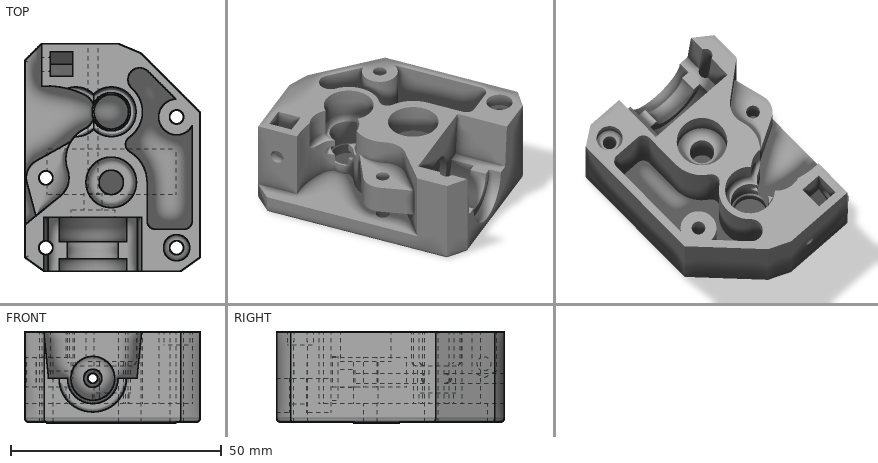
import cadquery as cq
import math

WIDTH = 41.6
LENGTH = 54.0
HEIGHT = 21.4
BOTTOM_FILLET = 1.0
REAR_LEFT_CHAMFER = 4.0
FRONT_CHAMFER_X = 4.6
FRONT_CHAMFER_Y = 3.3
SLOPE_START = (27.55, 51.75)
REAR_EDGE_END_X = 22.2
PANEL_HEIGHT = 0.2
PANEL_CORNERS = ((5.2, 18.3), (35.8, 29.1))

BOLT_SPACING = 31.0
BOLT_LEFT_X = 5.0
BOLT_FRONT_Y = 5.6
BOLT_RIGHT_X = BOLT_LEFT_X + BOLT_SPACING
BOLT_REAR_Y = BOLT_FRONT_Y + BOLT_SPACING
BOLT_HOLE_DIAMETER = 3.25
BOLT_HEAD_DIAMETER = 6.2
BOLT_HEAD_DEPTH = 3.0
BOSS_RADIUS = 4.25

MOTOR_X = BOLT_LEFT_X + BOLT_SPACING / 2
MOTOR_Y = BOLT_FRONT_Y + BOLT_SPACING / 2
BEARING_DIAMETER = 12.0
BEARING_DEPTH = 6.9
SHAFT_DIAMETER = 5.8

GEAR_X = MOTOR_X
GEAR_Y = 37.83
IDLER_X = 12.1
BORE_RADIUS = 5.9
BORE_DEPTH = 8.05
BORE_FLOOR_FILLET = 1.35
NECK_RADIUS = BORE_RADIUS - BORE_FLOOR_FILLET
GEAR_FLOOR_DEPTH = 14.4
GEAR_SEAT_DIAMETER = 8.2

POCKET_DEPTH = 16.9
POCKET_REAR_Y = 43.94
POCKET_WALL_MID = (9.1, 43.58)
PIVOT = (BOLT_LEFT_X, 22.17)
PIVOT_CLEARANCE_RADIUS = 5.5
PIVOT_EXIT_ANGLE = -50.9
BLOCK_RADIUS = 8.0

ARM_RADIUS = 4.63
ARM_TOP_DEPTH = 6.0
ARM_THICKNESS = 7.0
ARM_REAR_TIP = (11.7, 31.22)
ARM_FRONT_TIP = (2.62, 13.2)

WALL = 1.9
RIGHT_POCKET_LEFT_X = 29.0
RIGHT_POCKET_FRONT_Y = 9.96
RIGHT_POCKET_CORNER = 2.0
GEAR_WALL_RADIUS = 7.4
REAR_LOBE_RADIUS = 2.8
REAR_LOBE = (27.25, 45.45)

FILAMENT_X = 16.12
FILAMENT_DEPTH = 11.0
FILAMENT_DIAMETER = 2.3
SLOT_TOP_WIDTH = 23.2
SLOT_FLOOR_WIDTH = 21.0
SLOT_LENGTH = 12.8
GROOVE_DIAMETER = 16.0
COLLAR_DIAMETER = 12.0
COLLAR_FRONT_Y = 3.0
COLLAR_REAR_Y = 7.0
RECESS_DIAMETER = 10.4
RECESS_DEPTH = 1.75
TUBE_DIAMETER = 4.3
TUBE_DEPTH = 4.0

NUT_LEFT_X = 6.02
NUT_LENGTH = 5.3
NUT_Y = 49.13
NUT_WIDTH = 5.8
SCREW_DEPTH = 7.5
SCREW_DIAMETER = 3.3


def on_circle(center, radius, angle):
    """Point on a circle at an angle in degrees."""
    a = math.radians(angle)
    return (center[0] + radius * math.cos(a), center[1] + radius * math.sin(a))


def angle_to(start, end):
    """Direction from one point to another, in degrees."""
    return math.degrees(math.atan2(end[1] - start[1], end[0] - start[0]))


def circle_crossing(c1, r1, c2, r2, side):
    """Crossing of two circles; side +1 is left of the line from c1 to c2."""
    gap = math.dist(c1, c2)
    along = (gap**2 + r1**2 - r2**2) / (2 * gap)
    return on_circle(c1, r1, angle_to(c1, c2) + side * math.degrees(math.acos(along / r1)))


def tangent_angle(point, center, radius, side):
    """Angle on a circle where a tangent from an outside point touches."""
    spread = math.degrees(math.acos(radius / math.dist(point, center)))
    return angle_to(center, point) + side * spread


def from_top(depth):
    """Workplane at a depth below the top face."""
    return cq.Workplane("XY").workplane(offset=HEIGHT - depth)


def top_hole(x, y, diameter, depth, start=0.0):
    """Vertical cutter running from one depth down to another."""
    return from_top(depth).center(x, y).circle(diameter / 2).extrude(depth - start)


def filament_cylinder(diameter, y_start, y_end):
    """Cutter along the filament axis."""
    plane = cq.Workplane("XZ", origin=(FILAMENT_X, y_start, HEIGHT - FILAMENT_DEPTH))
    return plane.circle(diameter / 2).extrude(y_start - y_end)


def make_body():
    slope_end_y = SLOPE_START[1] - (WIDTH - SLOPE_START[0])
    outline = [
        (FRONT_CHAMFER_X, 0),
        (WIDTH - FRONT_CHAMFER_X, 0),
        (WIDTH, FRONT_CHAMFER_Y),
        (WIDTH, slope_end_y),
        SLOPE_START,
        (REAR_EDGE_END_X, LENGTH),
        (REAR_LEFT_CHAMFER, LENGTH),
        (0, LENGTH - REAR_LEFT_CHAMFER),
        (0, FRONT_CHAMFER_Y),
    ]
    body = cq.Workplane("XY").polyline(outline).close().extrude(HEIGHT)
    body = body.faces("<Z").edges().fillet(BOTTOM_FILLET)
    (x0, y0), (x1, y1) = PANEL_CORNERS
    panel = cq.Workplane("XY").box(x1 - x0, y1 - y0, PANEL_HEIGHT, centered=False)
    return body.union(panel.translate((x0, y0, -PANEL_HEIGHT)))


def block_center():
    """Centre of the convex wall, tangent to the pivot clearance and the idler neck."""
    return circle_crossing(
        PIVOT,
        PIVOT_CLEARANCE_RADIUS + BLOCK_RADIUS,
        (IDLER_X, GEAR_Y),
        NECK_RADIUS + BLOCK_RADIUS,
        -1,
    )


def make_idler_pocket():
    idler = (IDLER_X, GEAR_Y)
    block = block_center()
    pivot_to_block = angle_to(PIVOT, block)
    idler_to_block = angle_to(idler, block)
    meet = on_circle(PIVOT, PIVOT_CLEARANCE_RADIUS, pivot_to_block)
    block_end = on_circle(idler, NECK_RADIUS, idler_to_block)
    rear_end = (block_end[0], 2 * GEAR_Y - block_end[1])
    block_mid_angle = (idler_to_block + pivot_to_block) / 2 + 180
    exit_point = on_circle(PIVOT, PIVOT_CLEARANCE_RADIUS, PIVOT_EXIT_ANGLE)
    exit_slope = math.tan(math.radians(PIVOT_EXIT_ANGLE + 90))
    exit_mid_angle = (pivot_to_block + PIVOT_EXIT_ANGLE) / 2
    outline = (
        from_top(POCKET_DEPTH)
        .moveTo(0, LENGTH)
        .lineTo(REAR_LEFT_CHAMFER, LENGTH)
        .lineTo(REAR_LEFT_CHAMFER, POCKET_REAR_Y)
        .threePointArc(POCKET_WALL_MID, rear_end)
        .threePointArc((IDLER_X + NECK_RADIUS, GEAR_Y), block_end)
        .threePointArc(on_circle(block, BLOCK_RADIUS, block_mid_angle), meet)
        .threePointArc(on_circle(PIVOT, PIVOT_CLEARANCE_RADIUS, exit_mid_angle), exit_point)
        .lineTo(0, exit_point[1] - exit_slope * exit_point[0])
        .close()
    )
    pocket = outline.extrude(POCKET_DEPTH)
    gear_floor = (
        from_top(POCKET_DEPTH)
        .center(GEAR_X, GEAR_Y)
        .circle(NECK_RADIUS)
        .extrude(POCKET_DEPTH - GEAR_FLOOR_DEPTH)
    )
    return pocket.cut(gear_floor)


def make_arm():
    rear_angle = tangent_angle(ARM_REAR_TIP, PIVOT, ARM_RADIUS, 1)
    front_angle = tangent_angle(ARM_FRONT_TIP, PIVOT, ARM_RADIUS, -1) + 360
    root = (IDLER_X, ARM_FRONT_TIP[1])
    return (
        from_top(ARM_TOP_DEPTH + ARM_THICKNESS)
        .moveTo(*ARM_REAR_TIP)
        .lineTo(*on_circle(PIVOT, ARM_RADIUS, rear_angle))
        .threePointArc(
            on_circle(PIVOT, ARM_RADIUS, (rear_angle + front_angle) / 2),
            on_circle(PIVOT, ARM_RADIUS, front_angle),
        )
        .lineTo(*ARM_FRONT_TIP)
        .lineTo(*root)
        .lineTo(*block_center())
        .close()
        .extrude(ARM_THICKNESS)
    )


def make_round_bottom_bore(x, y):
    bore = top_hole(x, y, 2 * BORE_RADIUS, BORE_DEPTH)
    return bore.faces("<Z").edges().fillet(BORE_FLOOR_FILLET)


def make_gear_bores():
    bores = make_round_bottom_bore(GEAR_X, GEAR_Y).union(make_round_bottom_bore(IDLER_X, GEAR_Y))
    neck = top_hole(GEAR_X, GEAR_Y, 2 * NECK_RADIUS, GEAR_FLOOR_DEPTH)
    seat = top_hole(GEAR_X, GEAR_Y, GEAR_SEAT_DIAMETER, POCKET_DEPTH, GEAR_FLOOR_DEPTH)
    return bores.union(neck).union(seat)


def make_right_pocket():
    gear = (GEAR_X, GEAR_Y)
    motor = (MOTOR_X, MOTOR_Y)
    motor_wall_radius = RIGHT_POCKET_LEFT_X - MOTOR_X
    corner = RIGHT_POCKET_CORNER
    right_x = WIDTH - WALL
    lobe = circle_crossing(
        gear, GEAR_WALL_RADIUS + corner, motor, motor_wall_radius + corner, 1
    )
    gear_to_rear = angle_to(gear, REAR_LOBE)
    gear_to_lobe = angle_to(gear, lobe)
    motor_to_lobe = angle_to(motor, lobe)
    rear_lobe_end = on_circle(REAR_LOBE, REAR_LOBE_RADIUS, 45)
    slope_run = right_x - rear_lobe_end[0]
    outline = (
        from_top(POCKET_DEPTH)
        .moveTo(*rear_lobe_end)
        .threePointArc(
            on_circle(REAR_LOBE, REAR_LOBE_RADIUS, 135),
            on_circle(gear, GEAR_WALL_RADIUS, gear_to_rear),
        )
        .threePointArc(
            on_circle(gear, GEAR_WALL_RADIUS, (gear_to_rear + gear_to_lobe) / 2),
            on_circle(gear, GEAR_WALL_RADIUS, gear_to_lobe),
        )
        .threePointArc(
            (lobe[0] - corner, lobe[1]),
            on_circle(motor, motor_wall_radius, motor_to_lobe),
        )
        .threePointArc(
            on_circle(motor, motor_wall_radius, motor_to_lobe / 2),
            (RIGHT_POCKET_LEFT_X, MOTOR_Y),
        )
        .lineTo(RIGHT_POCKET_LEFT_X, RIGHT_POCKET_FRONT_Y)
        .lineTo(right_x, RIGHT_POCKET_FRONT_Y)
        .lineTo(right_x, rear_lobe_end[1] - slope_run)
        .close()
    )
    pocket = outline.extrude(POCKET_DEPTH)
    pocket = pocket.edges("|Z").edges("<Y").fillet(corner)
    boss = top_hole(BOLT_RIGHT_X, BOLT_REAR_Y, 2 * BOSS_RADIUS, POCKET_DEPTH)
    return pocket.cut(boss)


def make_filament_path():
    slot = (
        cq.Workplane("XZ", origin=(FILAMENT_X, 0, HEIGHT))
        .moveTo(-SLOT_TOP_WIDTH / 2, 0)
        .lineTo(SLOT_TOP_WIDTH / 2, 0)
        .lineTo(SLOT_FLOOR_WIDTH / 2, -FILAMENT_DEPTH)
        .lineTo(-SLOT_FLOOR_WIDTH / 2, -FILAMENT_DEPTH)
        .close()
        .extrude(-SLOT_LENGTH)
    )
    recess_end = SLOT_LENGTH + RECESS_DEPTH
    sections = [
        (GROOVE_DIAMETER, 0, COLLAR_FRONT_Y),
        (COLLAR_DIAMETER, COLLAR_FRONT_Y, COLLAR_REAR_Y),
        (GROOVE_DIAMETER, COLLAR_REAR_Y, SLOT_LENGTH),
        (RECESS_DIAMETER, SLOT_LENGTH, recess_end),
        (TUBE_DIAMETER, recess_end, recess_end + TUBE_DEPTH),
        (FILAMENT_DIAMETER, recess_end, LENGTH),
    ]
    path = slot
    for diameter, y_start, y_end in sections:
        path = path.union(filament_cylinder(diameter, y_start, y_end))
    return path


def make_motor_bearing():
    bearing = top_hole(MOTOR_X, MOTOR_Y, BEARING_DIAMETER, BEARING_DEPTH)
    shaft = top_hole(MOTOR_X, MOTOR_Y, SHAFT_DIAMETER, POCKET_DEPTH)
    return bearing.union(shaft)


def make_bolt_holes():
    centers = [
        (BOLT_LEFT_X, BOLT_FRONT_Y),
        (BOLT_RIGHT_X, BOLT_FRONT_Y),
        (BOLT_RIGHT_X, BOLT_REAR_Y),
        PIVOT,
    ]
    holes = top_hole(BOLT_RIGHT_X, BOLT_FRONT_Y, BOLT_HEAD_DIAMETER, BOLT_HEAD_DEPTH)
    for x, y in centers:
        holes = holes.union(top_hole(x, y, BOLT_HOLE_DIAMETER, HEIGHT + PANEL_HEIGHT))
    return holes


def make_nut_trap():
    half = NUT_WIDTH / 2
    side_half = half * math.tan(math.radians(30))
    nut = (
        cq.Workplane("YZ", origin=(NUT_LEFT_X, NUT_Y, HEIGHT))
        .moveTo(-half, 0)
        .lineTo(-half, -SCREW_DEPTH - side_half)
        .lineTo(0, -SCREW_DEPTH - 2 * side_half)
        .lineTo(half, -SCREW_DEPTH - side_half)
        .lineTo(half, 0)
        .close()
        .extrude(NUT_LENGTH)
    )
    screw = (
        cq.Workplane("YZ", origin=(0, NUT_Y, HEIGHT - SCREW_DEPTH))
        .circle(SCREW_DIAMETER / 2)
        .extrude(NUT_LEFT_X)
    )
    return nut.union(screw)


result = make_body().cut(make_idler_pocket()).union(make_arm())
for cutter in (
    make_gear_bores(),
    make_right_pocket(),
    make_filament_path(),
    make_motor_bearing(),
    make_bolt_holes(),
    make_nut_trap(),
):
    result = result.cut(cutter)